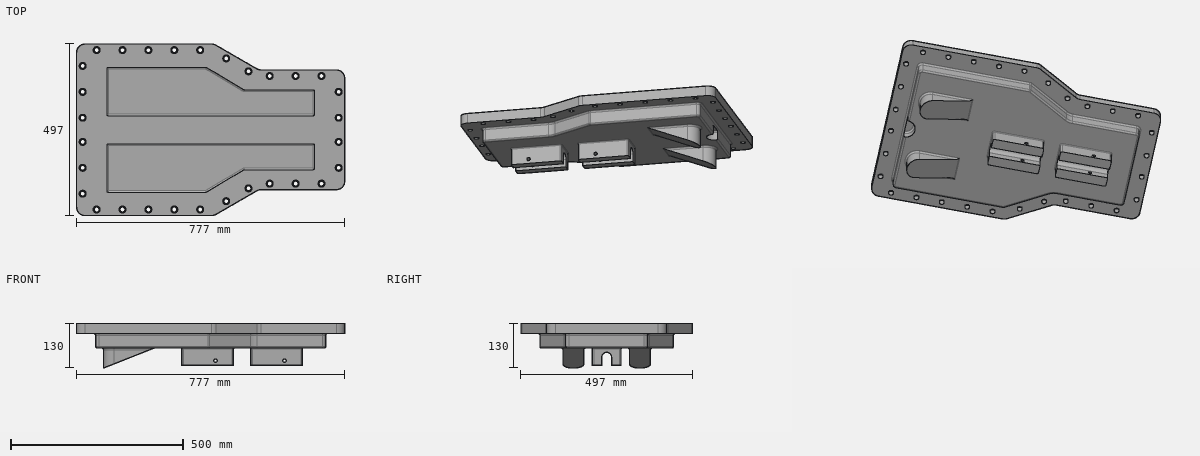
import cadquery as cq
import math


length = 777.0
width = 497.0
narrow_width = 347.0
plate_thickness = 29.5
taper_start = 398.0
taper_angle = 30.0
plate_corner_radius = 25.0

plug_inset = 55.0
plug_bottom = -71.5
plug_corner_radius = 10.0
plug_neck_radius = 39.0
plug_edge_radius = 5.0

pocket_depth = 16.0
pocket_start = 88.0
pocket_end = 689.0
pocket_inner_y = 40.5
pocket_outer_y = 181.0
pocket_narrow_y = 116.0
pocket_taper_start = 375.0
pocket_taper_end = 485.0
pocket_radius = 5.0

bolt_diameter = 14.0
bolt_sink_diameter = 20.0
bolt_sink_angle = 90.0
bolt_edge_distance = 18.0
first_bolt_x = 58.0
last_bolt_x = 709.5
wide_bolt_count = 5
wide_bolt_span = 300.0
bolt_pitch = wide_bolt_span / (wide_bolt_count - 1)
narrow_bolt_count = 3
end_bolt_y = 35.0
wide_end_bolt_count = 3
narrow_end_bolt_count = 2
taper_bolts = [(434.0, 207.0), (498.0, 169.5)]

foot_tip_z = -130.0
foot_start = 78.0
foot_end = 225.0
foot_radius = 30.0
foot_base_radius = 5.0
foot_y = 96.0

lug_starts = [305.0, 504.0]
lug_length = 150.0
lug_width = 84.0
lug_bottom = -121.0
lug_corner_radius = 5.0
lug_base_radius = 2.0
lug_slot_width = 28.0
lug_slot_top = -84.0
lug_pin_diameter = 9.0
lug_pin_offset = 98.0
lug_pin_z = -108.0

scallop_radius = 26.5
scallop_top = -43.5
scallop_edge_radius = 5.0

selection_margin = 8.0
level_tolerance = 0.1

mirrored_sides = (1, -1)


def tapered_outline(inset):
    """Corner points of the plate outline, moved inwards by inset."""
    slope = math.radians(taper_angle)
    half_width = width / 2 - inset
    half_narrow = narrow_width / 2 - inset
    shoulder = taper_start - inset * math.tan(slope / 2)
    neck = shoulder + (half_width - half_narrow) / math.tan(slope)
    upper = [
        (inset, half_width),
        (shoulder, half_width),
        (neck, half_narrow),
        (length - inset, half_narrow),
    ]
    lower = [(x, -y) for x, y in reversed(upper)]
    return upper + lower, neck


def upright_edges(body, x_low, x_high):
    """Vertical edges of body between two X positions."""
    zone = cq.selectors.BoxSelector(
        (x_low - selection_margin, -width, foot_tip_z),
        (x_high + selection_margin, width, selection_margin),
    )
    return body.edges("|Z").edges(zone)


def tapered_slab(inset, top, bottom, corner_radius, neck_radius):
    """Slab with the tapered outline and rounded upright edges."""
    points, neck = tapered_outline(inset)
    slab = (
        cq.Workplane("XY", origin=(0, 0, bottom))
        .polyline(points)
        .close()
        .extrude(top - bottom)
    )
    slab = upright_edges(slab, neck, neck).fillet(neck_radius)
    slab = upright_edges(slab, 0, taper_start).fillet(corner_radius)
    return upright_edges(slab, length - inset, length).fillet(corner_radius)


def make_plug():
    """Tapered plug with a rounded lower rim."""
    plug = tapered_slab(
        plug_inset, -plate_thickness, plug_bottom, plug_corner_radius, plug_neck_radius
    )
    return plug.faces("<Z").edges().fillet(plug_edge_radius)


def make_pocket(side):
    """Tapered pocket with rounded corners and a rounded floor edge."""
    points = [
        (pocket_start, pocket_inner_y),
        (pocket_start, pocket_outer_y),
        (pocket_taper_start, pocket_outer_y),
        (pocket_taper_end, pocket_narrow_y),
        (pocket_end, pocket_narrow_y),
        (pocket_end, pocket_inner_y),
    ]
    pocket = (
        cq.Workplane("XY")
        .polyline([(x, side * y) for x, y in points])
        .close()
        .extrude(-pocket_depth)
    )
    return pocket.edges("|Z or <Z").fillet(pocket_radius)


def bolt_positions():
    """Bolt hole centres around the flange, mirrored about Y = 0."""
    wide_y = width / 2 - bolt_edge_distance
    narrow_y = narrow_width / 2 - bolt_edge_distance
    half = [(first_bolt_x + i * bolt_pitch, wide_y) for i in range(wide_bolt_count)]
    half += taper_bolts
    half += [(last_bolt_x - i * bolt_pitch, narrow_y) for i in range(narrow_bolt_count)]
    half += [
        (bolt_edge_distance, end_bolt_y + i * bolt_pitch) for i in range(wide_end_bolt_count)
    ]
    half += [
        (length - bolt_edge_distance, end_bolt_y + i * bolt_pitch)
        for i in range(narrow_end_bolt_count)
    ]
    return [(x, side * y) for x, y in half for side in mirrored_sides]


def make_foot(side):
    """Round-nosed foot whose underside rises to meet the plug."""
    nose_centre = foot_start + foot_radius
    column = (
        cq.Workplane("XY", origin=(0, side * foot_y, foot_tip_z))
        .moveTo(foot_end, -foot_radius)
        .lineTo(nose_centre, -foot_radius)
        .threePointArc((foot_start, 0), (nose_centre, foot_radius))
        .lineTo(foot_end, foot_radius)
        .close()
        .extrude(plug_bottom - foot_tip_z)
    )
    wedge = (
        cq.Workplane("XZ", origin=(0, side * foot_y + foot_radius, 0))
        .polyline([(foot_start, plug_bottom), (foot_start, foot_tip_z), (foot_end, plug_bottom)])
        .close()
        .extrude(2 * foot_radius)
    )
    return column.intersect(wedge)


def make_lug(start):
    """Block with a round-topped slot along X and a cross pin hole."""
    height = plug_bottom - lug_bottom
    lug = (
        cq.Workplane("XY", origin=(start + lug_length / 2, 0, lug_bottom))
        .rect(lug_length, lug_width)
        .extrude(height)
        .edges("|Z")
        .fillet(lug_corner_radius)
    )
    arch_z = lug_slot_top - lug_slot_width / 2
    slot = (
        cq.Workplane("YZ", origin=(start, 0, 0))
        .moveTo(-lug_slot_width / 2, lug_bottom)
        .lineTo(-lug_slot_width / 2, arch_z)
        .threePointArc((0, lug_slot_top), (lug_slot_width / 2, arch_z))
        .lineTo(lug_slot_width / 2, lug_bottom)
        .close()
        .extrude(lug_length)
    )
    pin_hole = (
        cq.Workplane("XZ", origin=(start + lug_pin_offset, lug_width / 2, lug_pin_z))
        .circle(lug_pin_diameter / 2)
        .extrude(lug_width)
    )
    return lug.cut(slot).cut(pin_hole)


def make_scallop():
    """Upright round cutter, centred on the end wall of the plug."""
    return (
        cq.Workplane("XY", origin=(plug_inset, 0, plug_bottom))
        .circle(scallop_radius)
        .extrude(scallop_top - plug_bottom)
        .faces(">Z")
        .edges()
        .fillet(scallop_edge_radius)
    )


def fillet_root(body, z, x_low, x_high, radius):
    """Fillet the inside corner around every feature rising from the level z within an X range."""
    floors = [face for face in body.faces("|Z").vals() if abs(face.Center().z - z) < level_tolerance]
    roots = [
        wire
        for face in floors
        for wire in face.innerWires()
        if x_low < wire.Center().x < x_high
    ]
    edges = [edge for root in roots for edge in root.Edges()]
    return body.newObject(edges).fillet(radius)


result = tapered_slab(0, 0, -plate_thickness, plate_corner_radius, plate_corner_radius)
result = result.union(make_plug())
result = fillet_root(result, -plate_thickness, 0, length, plug_edge_radius)

for side in mirrored_sides:
    result = result.union(make_foot(side))
result = fillet_root(result, plug_bottom, foot_start, foot_end, foot_base_radius)

for lug_start in lug_starts:
    result = result.union(make_lug(lug_start))
result = fillet_root(result, plug_bottom, lug_starts[0], length, lug_base_radius)

result = result.cut(make_scallop())

for side in mirrored_sides:
    result = result.cut(make_pocket(side))

result = (
    result.faces(">Z")
    .workplane(origin=(0, 0, 0))
    .pushPoints(bolt_positions())
    .cskHole(bolt_diameter, bolt_sink_diameter, bolt_sink_angle)
)